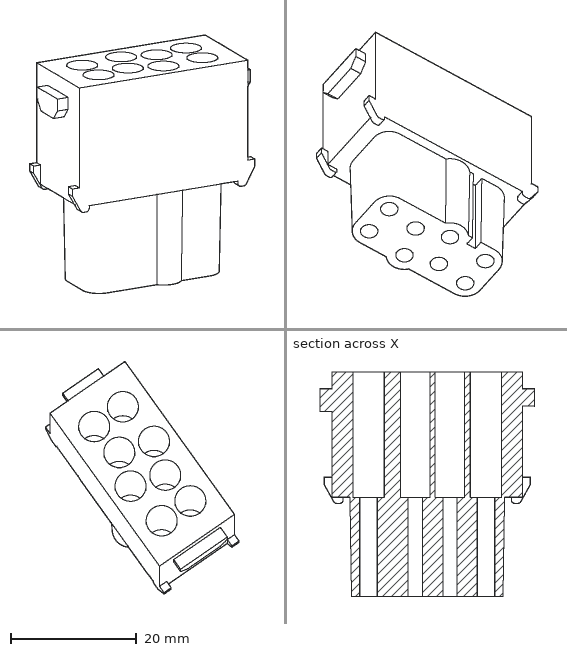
import cadquery as cq
import math

total_height = 35.8
total_length = 34.2
body_width = 14.6
body_length = 30.35
plug_height = 15.8
body_height = total_height - plug_height

plug_width = 11.6
plug_length = 24.7
plug_corner_radius = 2.95
draft_angle = 0.85
boss_radius = 3.2
groove_width = 1.65
groove_depth = 1.8
groove_center_y = -5.73

cavity_diameter = 4.95
contact_hole_diameter = 2.75
outer_cavity = (-3.6, -1.9)
inner_cavity = (1.95, -3.6)
end_cavities = [(-2.8, -9.35), (2.8, -9.35)]
half_cavities = [outer_cavity, inner_cavity] + end_cavities
cavities = half_cavities + [(-x, -y) for x, y in half_cavities]

tab_length = (total_length - body_length) / 2
tab_height = 3.65
tab_drop = 2.7
front_tab_width = 6.95
rear_tab_width = 9.1
tab_chamfer_width = 1.35
tab_chamfer_height = 1.65

clip_width = 1.4
clip_reach = 1.25
clip_rise = 3.25
clip_ramp_rise = 2.05
clip_drop = 0.95
clip_toe_outset = -0.43
clip_inset = 1.8
clip_toe_radius = 0.57


def make_body():
    """Rectangular block above the plug."""
    return (
        cq.Workplane("XY")
        .workplane(offset=plug_height)
        .rect(body_width, body_length)
        .extrude(body_height)
    )


def make_plug():
    """Rounded plug and two round side bosses, all narrowing downward, with a keying groove on -X."""
    shoulder = cq.Workplane("XY").workplane(offset=plug_height)
    plug = (
        shoulder.rect(plug_width, plug_length)
        .extrude(-plug_height, taper=draft_angle)
        .edges("not #Z")
        .fillet(plug_corner_radius)
    )
    boss_x, boss_y = outer_cavity
    boss_tip_radius = boss_radius - plug_height * math.tan(math.radians(draft_angle))
    for side in (1, -1):
        boss = cq.Solid.makeCone(
            boss_tip_radius,
            boss_radius,
            plug_height,
            pnt=cq.Vector(side * boss_x, side * boss_y, 0),
        )
        plug = plug.union(cq.Workplane(boss))
    groove_floor_x = groove_depth - plug_width / 2
    groove_tool_length = groove_floor_x + body_width / 2
    groove = cq.Workplane("XY").box(
        groove_tool_length, groove_width, plug_height, centered=(False, True, False)
    )
    return plug.cut(groove.translate((-body_width / 2, groove_center_y, 0)))


def make_tab(width, side):
    """Tab with chamfered lower corners on the end face at side * Y."""
    half_width = width / 2
    top = total_height - tab_drop
    bottom = top - tab_height
    chamfer_top = bottom + tab_chamfer_height
    half_bottom = half_width - tab_chamfer_width
    outline = [
        (-half_width, top),
        (half_width, top),
        (half_width, chamfer_top),
        (half_bottom, bottom),
        (-half_bottom, bottom),
        (-half_width, chamfer_top),
    ]
    return (
        cq.Workplane("XZ", origin=(0, side * body_length / 2, 0))
        .polyline(outline)
        .close()
        .extrude(-side * tab_length)
    )


def make_clip():
    """Ramped snap clip with a rounded toe at the +X, +Y corner."""
    outline = [
        (-clip_inset, clip_rise),
        (clip_reach, clip_rise),
        (clip_reach, clip_ramp_rise),
        (clip_toe_outset, -clip_drop),
        (-clip_inset, -clip_drop),
    ]
    return (
        cq.Workplane("YZ", origin=(body_width / 2, body_length / 2, plug_height))
        .polyline(outline)
        .close()
        .extrude(-clip_width)
        .faces("<Z")
        .edges("|X")
        .fillet(clip_toe_radius)
    )


part = make_body().union(make_plug())
part = part.union(make_tab(front_tab_width, -1)).union(make_tab(rear_tab_width, 1))

rear_clip = make_clip()
rear_clips = rear_clip.union(rear_clip.mirror("YZ"))
part = part.union(rear_clips).union(rear_clips.mirror("XZ"))

result = (
    part.faces(">Z")
    .workplane(origin=(0, 0, total_height))
    .pushPoints(cavities)
    .cboreHole(contact_hole_diameter, cavity_diameter, body_height)
)